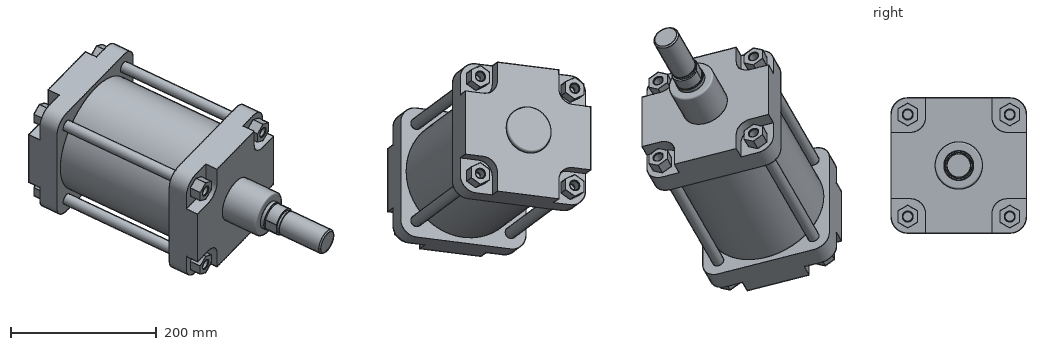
import cadquery as cq
import math

cap_side = 186.0
cap_thickness = 47.0
cap_to_cap = 280.0
tie_rod_spacing = 140.0
tie_rod_diameter = 16.0
barrel_diameter = 170.0

pocket_side = 47.5
pocket_depth = 18.5
pocket_radius = 21.0

boss_diameter = 65.0
rear_boss_length = 6.0
front_boss_length = 55.0
boss_rim_radius = 2.5

head_across_flats = 27.0
head_length = 16.5
socket_diameter = 13.0
socket_chamfer = 1.0

rod_diameter = 41.0
rod_collar_length = 7.0
shoulder_chamfer = 1.5
shank_diameter = 39.5
shank_across_flats = 36.0
neck_diameter = 34.0
neck_length = 4.0
thread_diameter = 36.0
thread_end_length = 72.0
thread_chamfer = 2.0
overall_length = 438.0

rear_face_x = rear_boss_length
front_face_x = rear_face_x + cap_to_cap
barrel_start_x = rear_face_x + cap_thickness
barrel_end_x = front_face_x - cap_thickness
boss_end_x = front_face_x + front_boss_length
collar_end_x = boss_end_x + rod_collar_length
shank_end_x = overall_length - thread_end_length
thread_start_x = shank_end_x + neck_length
tie_rod_offset = tie_rod_spacing / 2
corner_radius = (cap_side - tie_rod_spacing) / 2
signs = (-1, 1)
corners = [(sy * tie_rod_offset, sz * tie_rod_offset) for sy in signs for sz in signs]


def cylinder_x(diameter, start_x, end_x, y=0.0, z=0.0):
    """Solid cylinder parallel to X."""
    plane = cq.Workplane("YZ", origin=(start_x, y, z))
    return plane.circle(diameter / 2).extrude(end_x - start_x)


def make_cap(start_x, pocket_start_x):
    """Square cap with rounded corners, four corner pockets and tie rod holes."""
    cap = (
        cq.Workplane("YZ", origin=(start_x, 0, 0))
        .rect(cap_side, cap_side)
        .extrude(cap_thickness)
        .edges("|X")
        .fillet(corner_radius)
    )
    cutter_side = 2 * pocket_side
    pockets = (
        cq.Workplane("YZ", origin=(pocket_start_x, 0, 0))
        .rect(cap_side, cap_side, forConstruction=True)
        .vertices()
        .rect(cutter_side, cutter_side)
        .extrude(pocket_depth)
        .edges("|X")
        .fillet(pocket_radius)
    )
    cap = cap.cut(pockets)
    for y, z in corners:
        cap = cap.cut(cylinder_x(tie_rod_diameter, start_x, start_x + cap_thickness, y, z))
    return cap


def make_rear_cap():
    """Rear cap with a short solid centring boss."""
    cap = make_cap(rear_face_x, rear_face_x)
    boss = cylinder_x(boss_diameter, 0, rear_face_x).faces("<X").fillet(boss_rim_radius)
    return cap.union(boss)


def make_front_cap():
    """Front cap with the long guide boss, bored through for the piston rod."""
    cap = make_cap(barrel_end_x, front_face_x - pocket_depth)
    boss = cylinder_x(boss_diameter, front_face_x, boss_end_x).faces(">X").fillet(boss_rim_radius)
    bore = cylinder_x(rod_diameter, barrel_end_x, boss_end_x)
    return cap.union(boss).cut(bore)


def make_barrel():
    """Plain round barrel between the inner faces of the caps."""
    return cylinder_x(barrel_diameter, barrel_start_x, barrel_end_x)


def make_piston_rod():
    """Rod with a chamfered shoulder, a shank with two flats, a neck and a threaded end."""
    shoulder_step = (rod_diameter - shank_diameter) / 2
    rod = cylinder_x(rod_diameter, barrel_end_x, collar_end_x)
    rod = rod.faces(">X").chamfer(shoulder_chamfer, shoulder_step)
    flats = (
        cq.Workplane("YZ", origin=(collar_end_x, 0, 0))
        .rect(shank_across_flats, rod_diameter)
        .extrude(shank_end_x - collar_end_x)
    )
    shank = cylinder_x(shank_diameter, collar_end_x, shank_end_x).intersect(flats)
    neck = cylinder_x(neck_diameter, shank_end_x, thread_start_x)
    thread = cylinder_x(thread_diameter, thread_start_x, overall_length).faces(">X").chamfer(thread_chamfer)
    return rod.union(shank).union(neck).union(thread)


def make_tie_rod(y, z):
    """Tie rod with a hexagonal head and a chamfered socket at each end."""
    rear_seat_x = rear_face_x + pocket_depth
    front_seat_x = front_face_x - pocket_depth
    rear_end_x = rear_seat_x - head_length
    front_end_x = front_seat_x + head_length
    across_corners = head_across_flats / math.cos(math.pi / 6)
    tie_rod = cylinder_x(tie_rod_diameter, rear_seat_x, front_seat_x, y, z)
    for head_start_x in (rear_end_x, front_seat_x):
        head = (
            cq.Workplane("YZ", origin=(head_start_x, y, z))
            .transformed(rotate=(0, 0, 90))
            .polygon(6, across_corners)
            .extrude(head_length)
        )
        socket = cylinder_x(socket_diameter, head_start_x, head_start_x + head_length, y, z)
        tie_rod = tie_rod.union(head).cut(socket)
    return tie_rod.faces("<X or >X").edges("%CIRCLE").chamfer(socket_chamfer)


rear_cap = make_rear_cap()
front_cap = make_front_cap()
barrel = make_barrel()
piston_rod = make_piston_rod()
tie_rods = [make_tie_rod(y, z) for y, z in corners]

result = cq.Compound.makeCompound(
    [
        rear_cap.val(),
        front_cap.val(),
        barrel.val(),
        piston_rod.val(),
        *[tie_rod.val() for tie_rod in tie_rods],
    ]
)